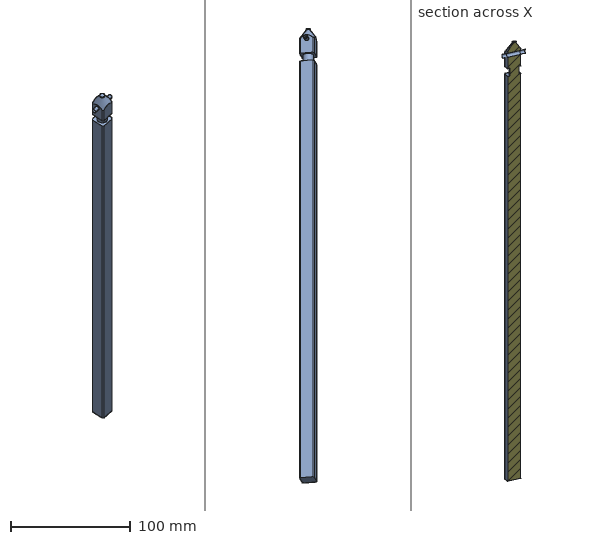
import cadquery as cq

total_height = 406.5
bar_width = 12.5
edge_chamfer = 1.0

head_bottom = total_height - 23.5
bar_top = total_height - 30.5
cone_drop = 7.5

neck_diameter = 9.0
tip_radius = 2.0
tip_length = 1.2

pin_length = 21.5
pin_diameter = 3.5
pin_bore = 3.3
pin_height = total_height - 11.0


def square_block(bottom, top):
    """Length of square bar with chamfered long edges between two levels."""
    return (
        cq.Workplane("XY")
        .workplane(offset=bottom)
        .rect(bar_width, bar_width)
        .extrude(top - bottom)
        .edges("|Z")
        .chamfer(edge_chamfer)
    )


def cross_cylinder(diameter):
    """Cylinder along Y, centred on the bar at pin height."""
    return (
        cq.Workplane("XZ")
        .center(0, pin_height)
        .circle(diameter / 2)
        .extrude(pin_length / 2, both=True)
    )


def pointed_head():
    """Square head trimmed to a cone with a round stub on top."""
    cone_top = total_height - tip_length
    cone_slope = (cone_drop - tip_length) / (bar_width / 2 - tip_radius)
    envelope_radius = bar_width
    cone_base = cone_top - cone_slope * (envelope_radius - tip_radius)
    envelope = (
        cq.Workplane("XZ")
        .moveTo(0, head_bottom)
        .lineTo(envelope_radius, head_bottom)
        .lineTo(envelope_radius, cone_base)
        .lineTo(tip_radius, cone_top)
        .lineTo(tip_radius, total_height)
        .lineTo(0, total_height)
        .close()
        .revolve(360, (0, 0, 0), (0, 1, 0))
    )
    return square_block(head_bottom, total_height).intersect(envelope)


neck = (
    cq.Workplane("XY")
    .workplane(offset=bar_top)
    .circle(neck_diameter / 2)
    .extrude(head_bottom - bar_top)
)

body = square_block(0, bar_top).union(neck).union(pointed_head())
result = body.union(cross_cylinder(pin_diameter)).cut(cross_cylinder(pin_bore))